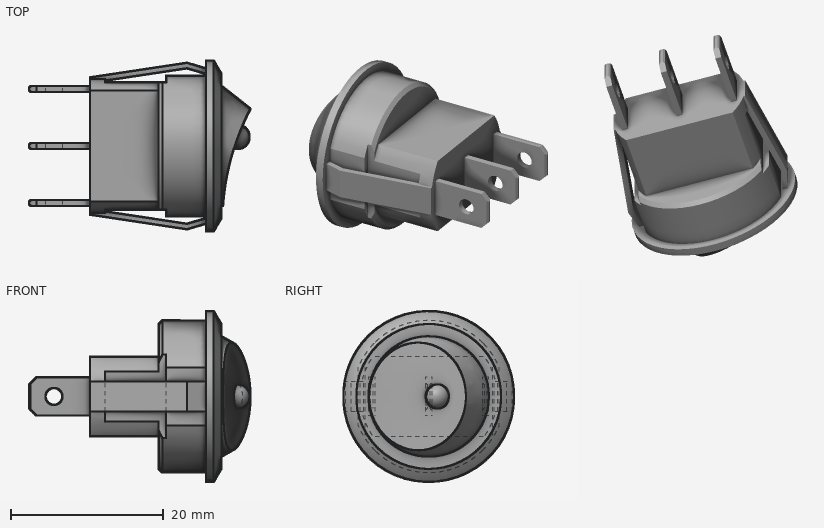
import cadquery as cq


block_length = 9.0
notch_end_x = 10.0
flange_back_x = 15.2
rim_thickness = 1.02
bevel_length = 1.02
flange_front_x = flange_back_x + rim_thickness + bevel_length

block_radius = 8.98
block_half_height = 5.23
barrel_radius = 10.0
barrel_chamfer = 0.5
flange_radius = 11.2
flange_front_radius = 9.5

notch_start_x = 2.0
notch_half_width = 8.37
barrel_half_width = 9.25

clip_width = 3.95
clip_thickness = 0.75
clip_root_y = 9.0
clip_bend_x = 12.72
clip_bend_y = 10.92
clip_end_y = 10.2

terminal_length = 8.0
terminal_height = 5.05
terminal_thickness = 0.8
terminal_pitch = 7.47
terminal_corner = 1.0
terminal_tip_chamfer = 0.23
terminal_hole_diameter = 2.18
terminal_hole_from_tip = 3.28

rocker_base_radius = 7.9
rocker_height = 3.83
rocker_top_radius = 5.72
rocker_top_y = -0.85
rocker_peak = (flange_front_x + rocker_height, rocker_top_y + rocker_top_radius)
rocker_middle = (18.88, -0.35)
rocker_low = (flange_front_x + 0.23, -rocker_base_radius)

lens_radius = 1.6
lens_x = 19.35
lens_y = 1.2


def x_cylinder(radius, start_x, length):
    return cq.Workplane("YZ", origin=(start_x, 0, 0)).circle(radius).extrude(length)


def centred_box(start_x, length, width, height):
    return cq.Workplane("YZ", origin=(start_x, 0, 0)).rect(width, height).extrude(length)


def side_slabs(start_x, end_x, half_width):
    """Everything outside |y| = half_width between two x positions."""
    reach = 2 * flange_radius
    length = end_x - start_x
    outside = centred_box(start_x, length, 2 * reach, 2 * reach)
    return outside.cut(centred_box(start_x, length, 2 * half_width, 2 * reach))


def make_block():
    bar = centred_box(0, block_length, 2 * block_radius, 2 * block_half_height)
    return bar.intersect(x_cylinder(block_radius, 0, block_length))


def make_barrel():
    barrel = x_cylinder(barrel_radius, block_length, flange_back_x - block_length)
    barrel = barrel.faces("<X").chamfer(barrel_chamfer)
    return barrel.cut(side_slabs(block_length, flange_back_x, barrel_half_width))


def make_flange():
    profile = [
        (flange_back_x, 0),
        (flange_back_x, flange_radius),
        (flange_back_x + rim_thickness, flange_radius),
        (flange_front_x, flange_front_radius),
        (flange_front_x, 0),
    ]
    return cq.Workplane("XY").polyline(profile).close().revolve(360, (0, 0, 0), (1, 0, 0))


def make_clip(side):
    """Bent strip from the rear face to the flange; side is +1 or -1 along Y."""
    outer = [(0, clip_root_y), (clip_bend_x, clip_bend_y), (flange_back_x, clip_end_y)]
    inner = [(x, y - clip_thickness) for x, y in reversed(outer)]
    outline = [(x, side * y) for x, y in outer + inner]
    return cq.Workplane("XY").polyline(outline).close().extrude(clip_width / 2, both=True)


def make_terminal(y):
    blade = centred_box(-terminal_length, terminal_length, terminal_thickness, terminal_height)
    blade = blade.edges("<X and |Y").chamfer(terminal_corner)
    blade = blade.faces("<X").edges("|Z").chamfer(terminal_tip_chamfer)
    hole = (
        cq.Workplane("XZ")
        .center(terminal_hole_from_tip - terminal_length, 0)
        .circle(terminal_hole_diameter / 2)
        .extrude(terminal_thickness, both=True)
    )
    return blade.cut(hole).translate((0, y, 0))


def make_housing():
    housing = make_block().union(make_barrel())
    housing = housing.cut(side_slabs(notch_start_x, notch_end_x, notch_half_width))
    housing = housing.union(make_flange())
    for side in (-1, 1):
        housing = housing.union(make_clip(side))
    for position in (-1, 0, 1):
        housing = housing.union(make_terminal(position * terminal_pitch))
    return housing


def make_rocker():
    cone = (
        cq.Workplane("YZ", origin=(flange_front_x, 0, 0))
        .circle(rocker_base_radius)
        .workplane(offset=rocker_height)
        .center(rocker_top_y, 0)
        .circle(rocker_top_radius)
        .loft(ruled=True)
    )
    hollow = (
        cq.Workplane("XY")
        .moveTo(*rocker_peak)
        .threePointArc(rocker_middle, rocker_low)
        .lineTo(rocker_low[0], -flange_radius)
        .lineTo(rocker_peak[0] + rocker_height, -flange_radius)
        .lineTo(rocker_peak[0] + rocker_height, rocker_peak[1])
        .close()
        .extrude(flange_radius, both=True)
    )
    return cone.cut(hollow)


def make_lens(rocker):
    """Ball resting in the rocker face: only the part proud of the face."""
    ball = cq.Workplane("XY").sphere(lens_radius).translate((lens_x, lens_y, 0))
    return ball.cut(rocker)


housing = make_housing()
rocker = make_rocker()
lens = make_lens(rocker)

result = cq.Compound.makeCompound([housing.val(), rocker.val(), lens.val()])